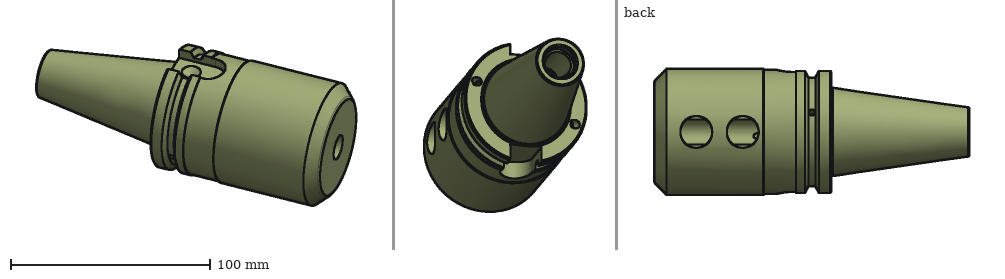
import cadquery as cq
import math

length = 158.2
body_diameter = 63.5
body_radius = body_diameter / 2

taper_small_diameter = 24.8
taper_large_diameter = 44.5
taper_edge_chamfer = 0.6
taper_end = 68.4
neck_diameter = 43.8

flange_start = 69.2
flange_end = 87.0
flange_chamfer = 0.8
recess_diameter = 46.5
recess_depth = 0.8
recess_floor_width = 0.6
groove_center = 79.05
groove_top_width = 7.1
groove_floor_diameter = 57.0
groove_wall_angle = 60.0

collar_diameter = 62.5
body_start = 103.2
body_chamfer = 0.3
nose_chamfer = 5.5
edge_break_length = 0.8
edge_break_height = 1.3

bore_diameter = 12.5
thread_diameter = 13.5
thread_depth = 31.6
counterbore_diameter = 16.3
counterbore_depth = 4.7
mouth_diameter = 18.2

slot_width = 16.3
slot_end = 97.0
slot_floor_top = 25.0
slot_floor_bottom = 22.6
dimple_diameter = 9.5
dimple_tip_angle = 118.0

coolant_angle = 20.0
coolant_circle_radius = 27.0
coolant_diameter = 3.2
plug_diameter = 4.3
plug_depth = 4.0
coolant_tilt = 30.0
vent_diameter = 3.2

screw_diameter = 16.0
screw_positions = (113.8, 137.0)


def revolve_x(points):
    """Revolve an (x, radius) outline about the X axis."""
    return cq.Workplane("XY").polyline(points).close().revolve(360, (0, 0, 0), (1, 0, 0))


def outer_form():
    small_radius = taper_small_diameter / 2
    neck_radius = neck_diameter / 2
    floor_radius = groove_floor_diameter / 2
    collar_radius = collar_diameter / 2
    wall_width = (body_radius - floor_radius) / math.tan(math.radians(groove_wall_angle))
    half_top = groove_top_width / 2
    nose_end = length - edge_break_length
    nose_radius = body_radius - nose_chamfer
    half_floor = half_top - wall_width
    return revolve_x([
        (0, 0),
        (0, small_radius - taper_edge_chamfer),
        (taper_edge_chamfer, small_radius),
        (taper_end, taper_large_diameter / 2),
        (taper_end, neck_radius),
        (flange_start + recess_depth, neck_radius),
        (flange_start + recess_depth, neck_radius + recess_floor_width),
        (flange_start, recess_diameter / 2),
        (flange_start, body_radius - flange_chamfer),
        (flange_start + flange_chamfer, body_radius),
        (groove_center - half_top, body_radius),
        (groove_center - half_floor, floor_radius),
        (groove_center + half_floor, floor_radius),
        (groove_center + half_top, body_radius),
        (flange_end, body_radius),
        (flange_end, collar_radius),
        (body_start, collar_radius),
        (body_start, body_radius - body_chamfer),
        (body_start + body_chamfer, body_radius),
        (nose_end - nose_chamfer, body_radius),
        (nose_end, nose_radius),
        (length, nose_radius - edge_break_height),
        (length, 0),
    ])


def axial_bore():
    bore_radius = bore_diameter / 2
    thread_radius = thread_diameter / 2
    counterbore_radius = counterbore_diameter / 2
    mouth_radius = mouth_diameter / 2
    mouth_depth = mouth_radius - counterbore_radius
    return revolve_x([
        (0, 0),
        (0, mouth_radius),
        (mouth_depth, counterbore_radius),
        (counterbore_depth, counterbore_radius),
        (counterbore_depth, thread_radius),
        (thread_depth, thread_radius),
        (thread_depth, bore_radius),
        (length, bore_radius),
        (length, 0),
    ])


def drive_slot(floor, side):
    """Round-ended slot open at the flange face, on the +Z (side=1) or -Z (side=-1) side."""
    slot_radius = slot_width / 2
    arc_center = slot_end - slot_radius
    return (
        cq.Workplane("XY", origin=(0, 0, side * floor))
        .moveTo(taper_end, -slot_radius)
        .lineTo(arc_center, -slot_radius)
        .threePointArc((slot_end, 0), (arc_center, slot_radius))
        .lineTo(taper_end, slot_radius)
        .close()
        .extrude(side * body_radius)
    )


def drill_dimple():
    """Conical drill point in the floor of the upper slot."""
    radius = dimple_diameter / 2
    depth = radius / math.tan(math.radians(dimple_tip_angle / 2))
    return cq.Workplane(cq.Solid.makeCone(
        radius, 0, depth, cq.Vector(groove_center, 0, slot_floor_top), cq.Vector(0, 0, -1)))


def coolant_passage():
    """Inclined passage from a plug seat in the flange face to the bore, met by a groove vent."""
    tilt = math.radians(coolant_tilt)
    passage_length = coolant_circle_radius / math.sin(tilt)
    overrun = plug_diameter
    direction = cq.Vector(math.cos(tilt), -math.sin(tilt), 0)
    entry = cq.Vector(flange_start, coolant_circle_radius, 0)
    passage = cq.Solid.makeCylinder(coolant_diameter / 2, passage_length, entry, direction)
    plug_seat = cq.Solid.makeCylinder(
        plug_diameter / 2, plug_depth + overrun, entry - direction * overrun, direction)
    vent_start = cq.Vector(groove_center, body_radius, 0)
    passage_drop = (groove_center - flange_start) * math.tan(tilt)
    vent_length = body_radius - coolant_circle_radius + passage_drop
    vent = cq.Solid.makeCylinder(vent_diameter / 2, vent_length, vent_start, cq.Vector(0, -1, 0))
    return cq.Workplane(passage).union(cq.Workplane(plug_seat)).union(cq.Workplane(vent))


def screw_hole(x):
    """Screw hole from the +Y side to the axial bore."""
    return cq.Workplane(cq.Solid.makeCylinder(
        screw_diameter / 2, body_radius, cq.Vector(x, 0, 0), cq.Vector(0, 1, 0)))


result = outer_form().cut(axial_bore())
result = result.cut(drive_slot(slot_floor_top, 1)).cut(drive_slot(slot_floor_bottom, -1))
result = result.cut(drill_dimple())
for half_turn in (0, 180):
    passage = coolant_passage().rotate((0, 0, 0), (1, 0, 0), coolant_angle + half_turn)
    result = result.cut(passage)
for screw_x in screw_positions:
    result = result.cut(screw_hole(screw_x))